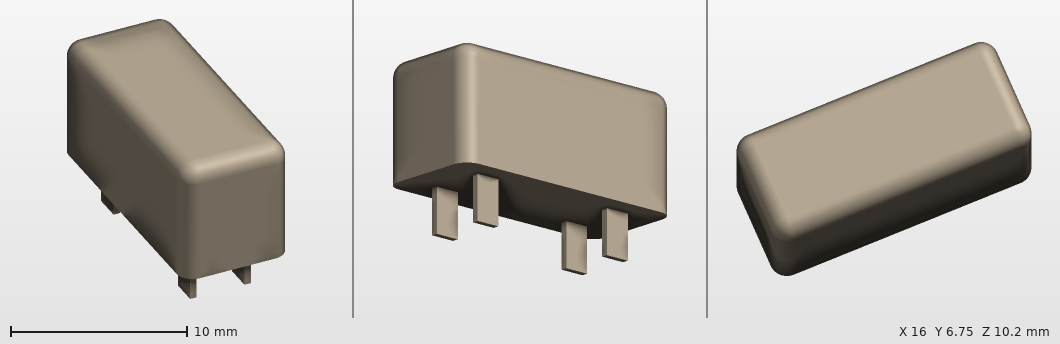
import cadquery as cq

body_length = 16.0
body_width = 6.75
body_height = 7.37
edge_radius = 1.0

pin_width = 1.6
pin_thickness = 0.4
pin_length = 2.8
pin_pitch_x = 9.93
pin_pitch_y = 3.43


def make_body():
    """Block with rounded upright and top edges and a sharp bottom edge."""
    block = cq.Workplane("XY").box(
        body_length, body_width, body_height, centered=(True, True, False)
    )
    return block.edges("|Z or >Z").fillet(edge_radius)


def make_pins():
    """Four rectangular pins hanging from the underside of the body."""
    return (
        cq.Workplane("XY")
        .rarray(pin_pitch_x, pin_pitch_y, 2, 2)
        .rect(pin_width, pin_thickness)
        .extrude(-pin_length)
    )


result = make_body().union(make_pins())